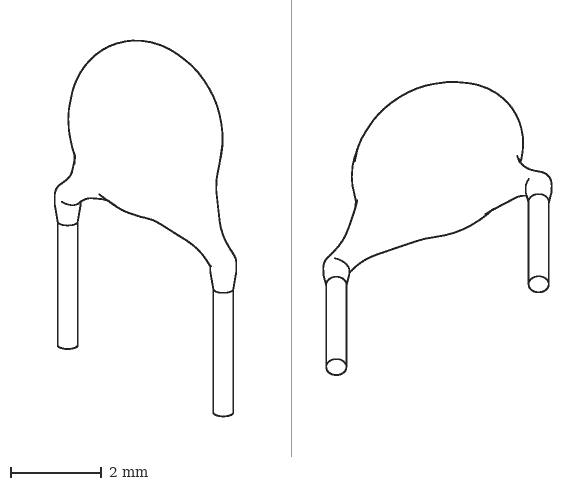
import cadquery as cq
import math

lens_radius = 2.0
lens_half_thickness = lens_radius * 3 / 4
rim_arc_radius = lens_radius / 2
rim_slope = math.atan2(3, 4)

pin_diameter = 0.45
pin_spacing = 5.0
pin_bottom = -5.99

leg_radius = 0.29
elbow_height = -2.39
collar_top = -2.61
collar_bottom = -3.02

arm_angle = 41.0
flare_angle = 25.0
flare_start = 0.23
flare_arc_radius = 1.5
arm_length = 2.4
blend_radius = 1.76
joint_top = -0.32
joint_reach = 2.02

pin_x = pin_spacing / 2


def make_lens():
    """Revolve two faces and a rounded rim, all tangent, about the Y axis."""
    rim_center = lens_radius - rim_arc_radius
    edge_x = rim_center + rim_arc_radius * math.cos(rim_slope)
    edge_y = rim_arc_radius * math.sin(rim_slope)
    face_radius = edge_x / math.cos(rim_slope)
    face_center = lens_half_thickness - face_radius
    mid_slope = (rim_slope + math.pi / 2) / 2
    mid_x = face_radius * math.cos(mid_slope)
    mid_y = face_center + face_radius * math.sin(mid_slope)
    return (
        cq.Workplane("XY")
        .moveTo(0, -lens_half_thickness)
        .threePointArc((mid_x, -mid_y), (edge_x, -edge_y))
        .threePointArc((lens_radius, 0), (edge_x, edge_y))
        .threePointArc((mid_x, mid_y), (0, lens_half_thickness))
        .close()
        .revolve(360, (0, 0), (0, 1))
    )


def make_arm():
    """Left arm: a straight neck, a concave arc and a cone widening into the lens."""
    angle = math.radians(flare_angle)
    arc_end = flare_start + flare_arc_radius * math.sin(angle)
    arc_end_radius = leg_radius + flare_arc_radius * (1 - math.cos(angle))
    arc_mid = flare_start + flare_arc_radius * math.sin(angle / 2)
    arc_mid_radius = leg_radius + flare_arc_radius * (1 - math.cos(angle / 2))
    end_radius = arc_end_radius + (arm_length - arc_end) * math.tan(angle)
    return (
        cq.Workplane("XZ")
        .lineTo(0, leg_radius)
        .lineTo(flare_start, leg_radius)
        .threePointArc((arc_mid, arc_mid_radius), (arc_end, arc_end_radius))
        .lineTo(arm_length, end_radius)
        .lineTo(arm_length, 0)
        .close()
        .revolve(360, (0, 0), (1, 0))
        .rotate((0, 0, 0), (0, 1, 0), -arm_angle)
        .translate((-pin_x, 0, elbow_height))
    )


def make_leg():
    """Left leg: rounded elbow, short cylinder and collar tapering to the pin."""
    elbow = cq.Workplane("XY").sphere(leg_radius).translate((-pin_x, 0, elbow_height))
    collar = (
        cq.Workplane("XZ")
        .moveTo(0, elbow_height)
        .lineTo(leg_radius, elbow_height)
        .lineTo(leg_radius, collar_top)
        .lineTo(pin_diameter / 2, collar_bottom)
        .lineTo(0, collar_bottom)
        .close()
        .revolve(360, (0, 0), (0, 1))
        .translate((-pin_x, 0, 0))
    )
    return elbow.union(collar)


def make_coating():
    """Join the lens and both arms, blend the joints, then add the legs."""
    arm = make_arm()
    leg = make_leg()
    lens_and_arms = make_lens().union(arm).union(arm.mirror("YZ"))
    joints = cq.selectors.BoxSelector(
        (-joint_reach, -lens_radius, -lens_radius), (joint_reach, lens_radius, joint_top)
    )
    blended = lens_and_arms.edges(joints).fillet(blend_radius)
    return blended.union(leg).union(leg.mirror("YZ"))


def make_pin(x):
    """Straight pin that meets the lower end of a collar."""
    return (
        cq.Workplane("XY", origin=(x, 0, pin_bottom))
        .circle(pin_diameter / 2)
        .extrude(collar_bottom - pin_bottom)
    )


coating = make_coating()
pins = [make_pin(x) for x in (-pin_x, pin_x)]
result = cq.Compound.makeCompound([coating.val(), *[pin.val() for pin in pins]])